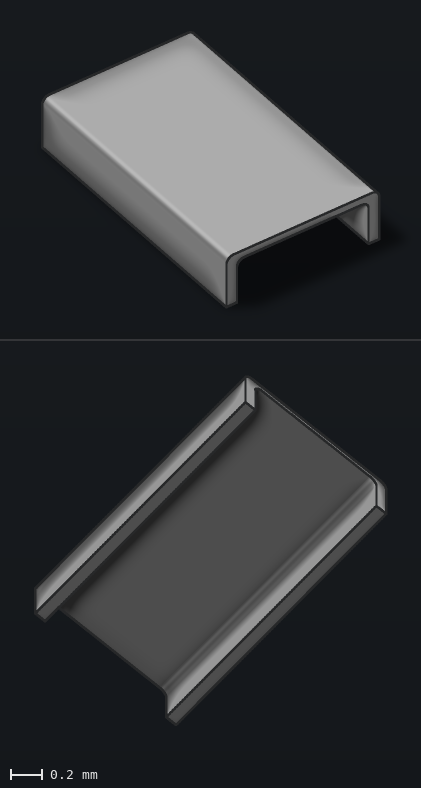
import cadquery as cq

length = 2.0
width = 1.19
height = 0.4

side_wall = 0.085
top_wall = 0.06
outer_radius = 0.06
inner_radius = 0.055


def rounded_bar(bar_width, bar_height, radius):
    """Bar standing on Z = 0, centred in X and Y, with its upper long edges rounded."""
    bar = cq.Workplane("XY").box(length, bar_width, bar_height, centered=(True, True, False))
    return bar.edges("|X and >Z").fillet(radius)


envelope = rounded_bar(width, height, outer_radius)
channel = rounded_bar(width - 2 * side_wall, height - top_wall, inner_radius)

result = envelope.cut(channel)